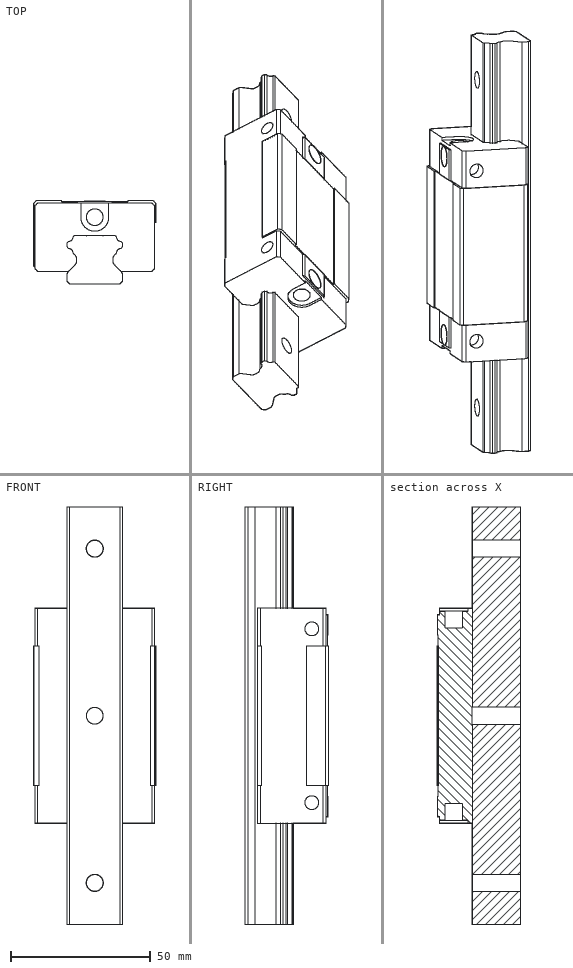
import cadquery as cq
import math


overall_height = 30.0
top_y = overall_height / 2
base_y = -overall_height / 2

rail_length = 150.0
rail_half_width = 10.0
rail_top_y = 2.4
rail_top_half_width = 7.4
rail_neck_half_width = 6.6
rail_base_chamfer = 1.0
groove_edge_half_width = 9.5
groove_radius = 1.6
upper_groove_y = 2.0
lower_groove_y = -3.9
head_side_top_y = -0.3
head_side_bottom_y = -1.4
neck_top_y = -5.7
neck_bottom_y = -7.0
neck_fillet_radius = 1.5
foot_shoulder_half_width = 9.6
foot_shoulder_y = -10.6
foot_side_top_y = -11.4
rail_hole_diameter = 6.0
rail_hole_pitch = 60.0
rail_hole_count = 3

carriage_bottom_y = -10.5
carriage_length = 77.2

block_width = 44.0
block_length = 50.1
block_top_chamfer = 1.0
block_bottom_chamfer = 2.0
top_recess_width = 23.7
top_recess_depth = 0.5
side_relief_depth = 0.5
side_relief_top_y = 7.0

cap_width = 43.0
cap_top_y = 14.1
cap_chamfer = 1.0
tab_width = 12.2
tab_length = 11.2
tab_top_y = 14.7
disc_diameter = 7.4
disc_top_y = 14.8
port_y = 9.0
end_pocket_width = 10.0
end_pocket_depth = 1.0
end_port_diameter = 6.0
end_port_depth = 6.0
side_port_diameter = 5.0
side_port_depth = 6.0
side_port_z = 31.2

cap_length = (carriage_length - block_length) / 2


def centered_box(width, y_low, y_high, length):
    """Box centered on X and Z that spans y_low to y_high."""
    return cq.Workplane("XY").box(width, y_high - y_low, length).translate((0, (y_low + y_high) / 2, 0))


def make_rail_blank():
    """Rail without its mounting holes: half the profile is drawn and mirrored."""
    arc_reach = groove_radius * math.sqrt(0.5)
    groove_inner_x = groove_edge_half_width - groove_radius
    fillet_rise = neck_fillet_radius * math.sqrt(0.5)
    fillet_end_x = rail_neck_half_width + neck_fillet_radius - fillet_rise
    half = (
        cq.Workplane("XY", origin=(0, 0, -rail_length / 2))
        .moveTo(0, rail_top_y)
        .lineTo(rail_top_half_width, rail_top_y)
        .lineTo(groove_inner_x, upper_groove_y)
        .threePointArc(
            (groove_edge_half_width - arc_reach, upper_groove_y - arc_reach),
            (groove_edge_half_width, upper_groove_y - groove_radius),
        )
        .lineTo(rail_half_width, head_side_top_y)
        .lineTo(rail_half_width, head_side_bottom_y)
        .lineTo(groove_edge_half_width, lower_groove_y + groove_radius)
        .threePointArc(
            (groove_edge_half_width - arc_reach, lower_groove_y + arc_reach),
            (groove_inner_x, lower_groove_y),
        )
        .lineTo(fillet_end_x, neck_top_y + fillet_rise)
        .tangentArcPoint((rail_neck_half_width, neck_top_y), relative=False)
        .lineTo(rail_neck_half_width, neck_bottom_y)
        .tangentArcPoint((fillet_end_x, neck_bottom_y - fillet_rise), relative=False)
        .lineTo(foot_shoulder_half_width, foot_shoulder_y)
        .lineTo(rail_half_width, foot_side_top_y)
        .lineTo(rail_half_width, base_y + rail_base_chamfer)
        .lineTo(rail_half_width - rail_base_chamfer, base_y)
        .lineTo(0, base_y)
        .close()
        .extrude(rail_length)
    )
    return half.union(half.mirror("YZ")).clean()


def make_rail(blank):
    """Rail with its row of mounting holes through the base."""
    drills = (
        cq.Workplane("XZ", origin=(0, top_y, 0))
        .rarray(1.5, rail_hole_pitch, 1, rail_hole_count)
        .circle(rail_hole_diameter / 2)
        .extrude(overall_height)
    )
    return blank.cut(drills)


def make_block():
    """Middle of the carriage, with a recessed top and a relieved +X side."""
    block = centered_box(block_width, carriage_bottom_y, top_y, block_length)
    block = block.edges("|Z and >Y").chamfer(block_top_chamfer)
    block = block.edges("|Z and <Y").chamfer(block_bottom_chamfer)
    recess = centered_box(top_recess_width, top_y - top_recess_depth, top_y, block_length)
    relief = centered_box(2 * side_relief_depth, carriage_bottom_y, side_relief_top_y, block_length)
    return block.cut(recess).cut(relief.translate((block_width / 2, 0, 0)))


def make_top_tab():
    """Tab with 45 degree flanks on top of the upper cap, running out from the block."""
    flank_width = tab_top_y - cap_top_y
    return (
        cq.Workplane("XY", origin=(0, 0, block_length / 2))
        .moveTo(-tab_width / 2 - flank_width, cap_top_y)
        .lineTo(tab_width / 2 + flank_width, cap_top_y)
        .lineTo(tab_width / 2, tab_top_y)
        .lineTo(-tab_width / 2, tab_top_y)
        .close()
        .extrude(tab_length)
    )


def make_top_disc():
    """Low round boss on the tab, tangent to the outer end of the tab."""
    center_z = block_length / 2 + tab_length - disc_diameter / 2
    return (
        cq.Workplane("XZ", origin=(0, disc_top_y, center_z))
        .circle(disc_diameter / 2)
        .extrude(disc_top_y - tab_top_y)
    )


def make_end_pocket():
    """Cutter for the U-shaped pocket and lubrication port in the upper end."""
    end_plane = cq.Workplane("XY", origin=(0, 0, carriage_length / 2))
    round_end = end_plane.center(0, port_y).circle(end_pocket_width / 2).extrude(-end_pocket_depth)
    straight = (
        end_plane.center(0, (port_y + cap_top_y) / 2)
        .rect(end_pocket_width, cap_top_y - port_y)
        .extrude(-end_pocket_depth)
    )
    port_reach = end_pocket_depth + end_port_depth
    port = end_plane.center(0, port_y).circle(end_port_diameter / 2).extrude(-port_reach)
    return round_end.union(straight).union(port)


def make_side_port():
    """Cutter for the blind lubrication port in the -X side of the upper cap."""
    return (
        cq.Workplane("YZ", origin=(-cap_width / 2, port_y, side_port_z))
        .circle(side_port_diameter / 2)
        .extrude(side_port_depth)
    )


def make_upper_cap():
    """End cap on the +Z end of the block."""
    cap = centered_box(cap_width, carriage_bottom_y, cap_top_y, cap_length)
    cap = cap.edges("|Z").chamfer(cap_chamfer)
    cap = cap.translate((0, 0, (block_length + cap_length) / 2))
    side_port = make_side_port()
    cap = cap.union(make_top_tab()).union(make_top_disc()).cut(make_end_pocket())
    return cap.cut(side_port).cut(side_port.mirror("YZ"))


def make_carriage(blank):
    """Block and two mirrored end caps as one solid, with a channel that fits the rail."""
    upper_cap = make_upper_cap()
    lower_cap = upper_cap.mirror("XY")
    return make_block().union(upper_cap).union(lower_cap).cut(blank)


rail_blank = make_rail_blank()
rail = make_rail(rail_blank)
carriage = make_carriage(rail_blank)

result = cq.Compound.makeCompound([rail.val(), carriage.val()])